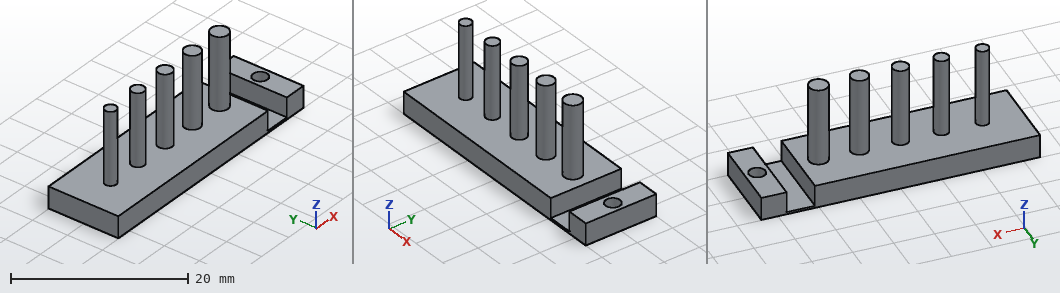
import cadquery as cq

base_length = 34.05
base_width = 10.0
base_height = 3.0

pin_diameters = [1.6, 1.8, 2.0, 2.2, 2.4]
pin_spacing = 5.0
pin_height = 10.0

slot_start = 27.52
end_block_length = 3.05
web_thickness = 0.3
slot_length = base_length - end_block_length - slot_start

hole_diameter = 2.0
hole_x = base_length - end_block_length / 2


def make_base():
    return cq.Workplane("XY").box(
        base_length, base_width, base_height, centered=(False, True, False)
    )


def make_slot():
    return (
        cq.Workplane("XY", origin=(slot_start, 0, web_thickness))
        .box(slot_length, base_width, base_height, centered=(False, True, False))
    )


def make_hole():
    return cq.Workplane("XY").center(hole_x, 0).circle(hole_diameter / 2).extrude(base_height)


def make_pin(x, diameter):
    return cq.Workplane("XY").center(x, 0).circle(diameter / 2).extrude(base_height + pin_height)


result = make_base().cut(make_slot()).cut(make_hole())
for position, diameter in enumerate(pin_diameters, start=1):
    result = result.union(make_pin(position * pin_spacing, diameter))